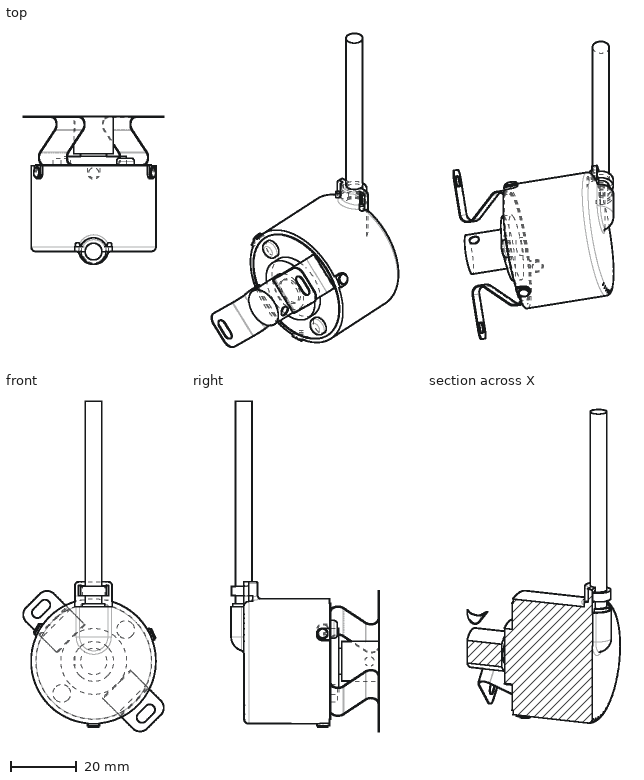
import cadquery as cq
import math


housing_radius = 19.0
housing_back = 15.0
housing_front = 41.1
housing_edge_round = 1.5
overall_depth = 45.0

sheet = 0.3
arm_width = 12.0
arm_angles = (45, 225)
bracket_base_radius = 17.6
bend_radius = 2.35
lower_bend_offset = 12.2
upper_bend_offset = 15.1
foot_inner_offset = 10.0
tab_end = 26.0
tab_corner_radius = 3.0
slot_offset = 22.5
slot_width = 3.2
slot_length = 6.45
base_back = housing_back - sheet

bracket_screw_angles = (135, 315)
bracket_screw_offset = 13.7
bracket_screw_radius = 2.7
bracket_screw_height = 2.0
bracket_screw_round = 1.0

hub_radius = 6.05
hub_length = 11.4
shaft_radius = 4.0
spigot_radius = 10.0
spigot_back = 12.2
set_screw_depth_position = 3.0
set_screw_radius = 1.45
set_screw_recess = 0.4

rim_screw_angles = (90, 210, 335)
rim_screw_inset = 2.1
rim_screw_position = housing_back + rim_screw_inset
rim_washer_radius = 1.9
rim_washer_height = 0.6
rim_washer_top = housing_radius + rim_washer_height
rim_head_radius = 1.55
rim_head_height = 0.5
rim_head_top = rim_washer_top + rim_head_height
rim_screw_embed = 1.5
rim_screw_root = housing_radius - rim_screw_embed

cowl_radius = 4.5
cowl_axis_sink = cowl_radius - (overall_depth - housing_front)
cowl_root_round = 1.1
cowl_dome_z = 7.5
cowl_top_z = 16.6

cable_radius = 2.55
cable_depth = housing_front
cable_top_z = 79.0
collar_radius = 3.4
collar_top_z = 17.5
tie_radius = 3.8
tie_bottom_z = 19.95
tie_top_z = 22.7

relief_half_width = 5.65
relief_top_z = 24.15
relief_thickness = 1.5
relief_back = housing_front - relief_thickness
relief_corner_radius = 1.2
window_half_width = 4.5
window_top_z = 23.0
saddle_radius = 4.2
saddle_bottom_z = 17.0
saddle_edge_round = 0.5
saddle_root_round = 1.0
post_radius = 0.75
post_offset = 4.85
post_depth = 39.1


def disc(radius, start_depth, end_depth, x=0.0):
    """Cylinder parallel to the shaft between two depths."""
    plane = cq.Workplane("XZ", origin=(x, -start_depth, 0))
    return plane.circle(radius).extrude(end_depth - start_depth)


def upright(radius, bottom_z, top_z, x=0.0, depth=cable_depth):
    """Vertical cylinder between two heights."""
    plane = cq.Workplane("XY", origin=(x, -depth, bottom_z))
    return plane.circle(radius).extrude(top_z - bottom_z)


def block(x_range, depth_range, z_range):
    """Axis-aligned box given by its limits."""
    size = (x_range[1] - x_range[0], depth_range[1] - depth_range[0], z_range[1] - z_range[0])
    corner = (x_range[0], -depth_range[1], z_range[0])
    return cq.Workplane("XY").box(*size, centered=False).translate(corner)


def make_housing():
    housing = disc(housing_radius, housing_back, housing_front)
    return housing.faces("<Y").edges().fillet(housing_edge_round)


def make_shaft():
    hub = disc(hub_radius, 0, hub_length)
    recess = (
        cq.Workplane("YZ", origin=(-hub_radius, -set_screw_depth_position, 0))
        .circle(set_screw_radius)
        .extrude(set_screw_recess)
    )
    shaft = disc(shaft_radius, 0, housing_back)
    spigot = disc(spigot_radius, spigot_back, housing_back)
    return hub.cut(recess).union(shaft).union(spigot)


def arm_strip():
    """S-bent strip along +X: tab bend, sloping web, then the bend into the foot."""
    lower_depth = sheet / 2 + bend_radius
    upper_depth = housing_back - sheet / 2 - bend_radius
    run = upper_bend_offset - lower_bend_offset
    rise = upper_depth - lower_depth
    slope = math.atan2(run, rise) + math.asin(2 * bend_radius / math.hypot(run, rise))
    across_x = math.cos(slope)
    across_y = math.sin(slope)
    inner = bend_radius - sheet / 2
    outer = bend_radius + sheet / 2

    def lower(x, y, radius):
        return (lower_bend_offset + radius * x, -lower_depth + radius * y)

    def upper(x, y, radius):
        return (upper_bend_offset + radius * x, -upper_depth + radius * y)

    profile = (
        cq.Workplane("XY")
        .moveTo(*lower(0, 1, inner))
        .threePointArc(lower(-1, 0, inner), lower(-across_x, -across_y, inner))
        .lineTo(*upper(across_x, across_y, outer))
        .threePointArc(upper(1, 0, outer), upper(0, -1, outer))
        .lineTo(foot_inner_offset, -housing_back)
        .lineTo(foot_inner_offset, -base_back)
        .lineTo(*upper(0, -1, inner))
        .threePointArc(upper(1, 0, inner), upper(across_x, across_y, inner))
        .lineTo(*lower(-across_x, -across_y, outer))
        .threePointArc(lower(-1, 0, outer), lower(0, 1, outer))
        .close()
    )
    return profile.extrude(arm_width / 2, both=True)


def make_arm():
    """One bracket arm along +X with its slotted tab."""
    tab = block((lower_bend_offset, tab_end), (0, sheet), (-arm_width / 2, arm_width / 2))
    tab = tab.edges("|Y and >X").fillet(tab_corner_radius)
    slot = (
        cq.Workplane("XZ")
        .center(slot_offset, 0)
        .slot2D(slot_length, slot_width, 90)
        .extrude(sheet)
    )
    return arm_strip().union(tab.cut(slot))


def make_bracket_screw():
    """Round-headed screw at its offset along +X."""
    screw_top = base_back - bracket_screw_height
    screw = disc(bracket_screw_radius, screw_top, housing_back, x=bracket_screw_offset)
    return screw.faces(">Y").edges().fillet(bracket_screw_round)


def about_shaft(body, angle):
    """Turn a body about the shaft axis, from +X towards -Z."""
    return body.rotate((0, 0, 0), (0, 1, 0), angle)


def make_bracket():
    bracket = disc(bracket_base_radius, base_back, housing_back)
    for angle in arm_angles:
        bracket = bracket.union(about_shaft(make_arm(), angle))
    for angle in bracket_screw_angles:
        bracket = bracket.union(about_shaft(make_bracket_screw(), angle))
    return bracket


def make_rim_screw():
    """Radial screw along +X with a washer that runs out to the rear edge of the rim."""
    plane = cq.Workplane("YZ", origin=(rim_screw_root, -rim_screw_position, 0))
    washer = plane.circle(rim_washer_radius).extrude(rim_washer_top - rim_screw_root)
    lug = block(
        (rim_screw_root, rim_washer_top),
        (housing_back, rim_screw_position),
        (-rim_washer_radius, rim_washer_radius),
    )
    head = plane.circle(rim_head_radius).extrude(rim_head_top - rim_screw_root)
    return washer.union(lug).union(head)


def cowl_half_section():
    """Half section at the dome height: x across the cowl, y pointing into the part."""
    centre_gap = cowl_radius + cowl_root_round
    flare_half_width = math.sqrt(centre_gap**2 - (cowl_root_round + cowl_axis_sink) ** 2)
    tangent_x = flare_half_width * cowl_radius / centre_gap
    tangent_height = (cowl_root_round + cowl_axis_sink) * cowl_radius / centre_gap - cowl_axis_sink
    crown = cowl_radius - cowl_axis_sink

    root_angle = math.atan2(tangent_height - cowl_root_round, tangent_x - flare_half_width)
    root_middle = (root_angle - math.pi / 2) / 2
    root_x = flare_half_width + cowl_root_round * math.cos(root_middle)
    root_height = cowl_root_round + cowl_root_round * math.sin(root_middle)
    crown_middle = (math.pi / 2 + math.atan2(tangent_height + cowl_axis_sink, tangent_x)) / 2
    crown_x = cowl_radius * math.cos(crown_middle)
    crown_height = cowl_radius * math.sin(crown_middle) - cowl_axis_sink

    return (
        cq.Workplane("XY", origin=(0, -housing_front, cowl_dome_z))
        .moveTo(0, cowl_axis_sink)
        .lineTo(flare_half_width, cowl_axis_sink)
        .lineTo(flare_half_width, 0)
        .threePointArc((root_x, -root_height), (tangent_x, -tangent_height))
        .threePointArc((crown_x, -crown_height), (0, -crown))
        .close()
    )


def make_cowl():
    """Half-round cowl, flared into the front face and closed by a dome below."""
    dome = cowl_half_section().revolve(360, (0, 0, 0), (0, 1, 0))
    half_barrel = cowl_half_section().extrude(cowl_top_z - cowl_dome_z)
    return dome.union(half_barrel).union(half_barrel.mirror("YZ"))


def add_saddle(housing):
    """Half-round saddle standing on the housing wall, with a rounded root."""
    saddle = upright(saddle_radius, saddle_bottom_z, relief_top_z)
    saddle = saddle.faces(">Z").edges().fillet(saddle_edge_round)
    behind_face = block(
        (-saddle_radius, saddle_radius),
        (0, relief_back),
        (saddle_bottom_z, relief_top_z),
    )
    joined = housing.union(saddle.intersect(behind_face))
    root_point = (0, saddle_radius - cable_depth, housing_radius)
    root_edge = cq.selectors.NearestToPointSelector(root_point)
    return joined.edges(root_edge).fillet(saddle_root_round)


def make_strain_relief():
    plate = block(
        (-relief_half_width, relief_half_width),
        (relief_back, housing_front),
        (cowl_top_z, relief_top_z),
    )
    plate = plate.edges("|Y and >Z").fillet(relief_corner_radius)
    window = block(
        (-window_half_width, window_half_width),
        (relief_back, housing_front),
        (tie_bottom_z, window_top_z),
    )
    relief = plate.cut(window)
    for side in (-1, 1):
        post = upright(post_radius, saddle_bottom_z, tie_bottom_z, side * post_offset, post_depth)
        relief = relief.union(post)
    return relief


def make_cable():
    cable = upright(cable_radius, cowl_dome_z, cable_top_z)
    collar = upright(collar_radius, cowl_dome_z, collar_top_z)
    tie = upright(tie_radius, tie_bottom_z, tie_top_z)
    return cable.union(collar).union(tie)


result = add_saddle(make_housing()).union(make_bracket()).union(make_shaft())
for rim_angle in rim_screw_angles:
    result = result.union(about_shaft(make_rim_screw(), rim_angle))
result = result.union(make_cowl()).union(make_strain_relief()).union(make_cable())